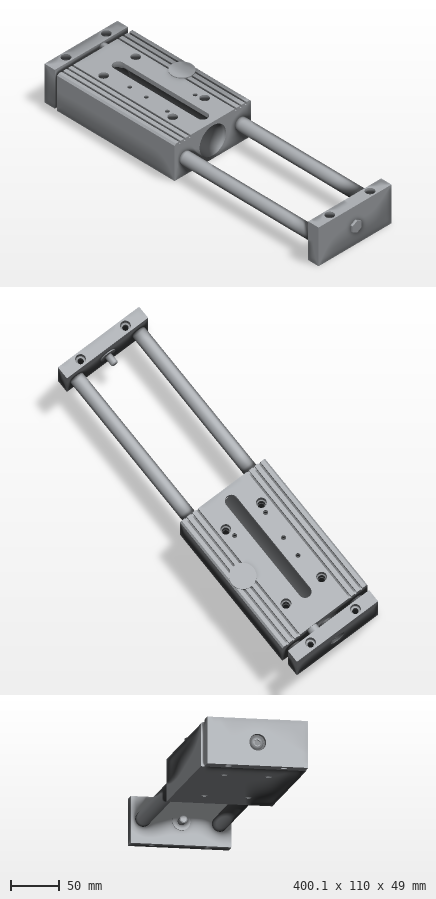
import cadquery as cq


PLATE_WIDTH = 105.0
PLATE_HEIGHT = 49.0
PLATE_THICKNESS = 15.0
REAR_PLATE_X = 382.0
PLATE_HOLE_Y = 29.0
PLATE_HOLE_DIAMETER = 6.65

ROD_DIAMETER = 16.0
ROD_Y = 40.0
ROD_Z = 0.8
ROD_CENTERS = [(-ROD_Y, -ROD_Z), (ROD_Y, ROD_Z)]

HOUSING_X = 21.0
HOUSING_LENGTH = 170.0
HOUSING_WIDTH = 110.0
HOUSING_TOP_Z = 23.5
HOUSING_BOTTOM_Z = -23.0
HOUSING_HEIGHT = HOUSING_TOP_Z - HOUSING_BOTTOM_Z
HOUSING_END_X = HOUSING_X + HOUSING_LENGTH
HOUSING_CENTER_X = HOUSING_X + HOUSING_LENGTH / 2
EDGE_CHAMFER = 2.0

GROOVE_WIDTH = 2.4
GROOVE_DEPTH = 3.0
GROOVE_PITCH = 7.25
FIRST_GROOVE_Y = 33.0
GROOVE_COUNT = 3

NARROW_BORE_DIAMETER = 34.0
WIDE_BORE_DIAMETER = 38.0
WIDE_BORE_X = 52.4

SLOT_WIDTH = 13.5
SLOT_START_X = 47.4
SLOT_LENGTH = 135.5

COUNTERBORE_DIAMETER = 11.0
COUNTERBORE_DEPTH = 6.8
MOUNTING_HOLE_DIAMETER = 6.5
MOUNTING_STEP_DIAMETER = 8.0
MOUNTING_STEP_DEPTH = 14.0
MOUNTING_FIRST_X = 56.0
MOUNTING_SPACING_X = 100.0
MOUNTING_Y = 23.0

SMALL_HOLE_DIAMETER = 4.13
SMALL_HOLE_DEPTH = 8.0
SMALL_HOLE_MOUTH_DEPTH = 4.0
DOWEL_MOUTH_DIAMETER = 5.1
DOWEL_X = 145.2
DOWEL_Y = 20.0
LOCATING_MOUTH_DIAMETER = 5.02
LOCATING_FIRST_X = 88.8
LOCATING_SPACING_X = 24.0
LOCATING_Y = -18.0

BADGE_DIAMETER = 28.0
BADGE_X = 106.0
BADGE_Y = ROD_Y
BADGE_HEIGHT = PLATE_HEIGHT / 2 - HOUSING_TOP_Z

STOP_COLLAR_DIAMETER = 18.5
STOP_TIP_DIAMETER = 17.5
STOP_TIP_LENGTH = 1.4
SCREW_RECESS_DIAMETER = 17.5
SCREW_RECESS_DEPTH = 5.0
SCREW_HEAD_DIAMETER = 13.5
SCREW_HEAD_HEIGHT = 3.0
SCREW_HEAD_CHAMFER = 2.8
SCREW_SOCKET_WIDTH = 6.0
SCREW_SOCKET_DEPTH = 2.5
HEX_CORNER_RATIO = 2 / 3 ** 0.5

BUMPER_DIAMETER = 12.0
BUMPER_Y = 16.7
BUMPER_Z = 17.0

STUD_DIAMETER = 8.0
STUD_START_X = 369.3
STUD_CHAMFER = 1.0
FLANGE_DIAMETER = 18.5
FLANGE_THICKNESS = 1.2
HEAD_WIDTH = 13.0
OVERALL_LENGTH = 400.1


def cylinder_x(diameter, start_x, end_x, y=0.0, z=0.0):
    """A cylinder along X between two X positions."""
    section = cq.Workplane("YZ", origin=(start_x, y, z)).circle(diameter / 2)
    return section.extrude(end_x - start_x)


def hexagon_x(width, start_x, end_x):
    """A hexagonal prism on the X axis, flats facing +Y and -Y, given its width across flats."""
    section = cq.Workplane("YZ", origin=(start_x, 0, 0)).transformed(rotate=(0, 0, 90))
    return section.polygon(6, width * HEX_CORNER_RATIO).extrude(end_x - start_x)


def plate(start_x):
    """A yoke plate with two counterbored vertical screw holes."""
    block = cq.Workplane("XY").box(PLATE_THICKNESS, PLATE_WIDTH, PLATE_HEIGHT)
    block = block.translate((start_x + PLATE_THICKNESS / 2, 0, 0))
    hole_points = [(0, -PLATE_HOLE_Y), (0, PLATE_HOLE_Y)]
    top = block.faces(">Z").workplane(centerOption="CenterOfBoundBox").pushPoints(hole_points)
    return top.cboreHole(PLATE_HOLE_DIAMETER, COUNTERBORE_DIAMETER, COUNTERBORE_DEPTH)


def screw_head():
    """A chamfered socket screw head standing on the floor of the front plate's recess."""
    start_x = SCREW_RECESS_DEPTH - SCREW_HEAD_HEIGHT
    head = cylinder_x(SCREW_HEAD_DIAMETER, start_x, SCREW_RECESS_DEPTH)
    head = head.faces("<X").chamfer(SCREW_HEAD_CHAMFER)
    return head.cut(hexagon_x(SCREW_SOCKET_WIDTH, start_x, start_x + SCREW_SOCKET_DEPTH))


def coupling_stud():
    """The stud with its flange against the rear plate and its head outside it."""
    rear_face_x = REAR_PLATE_X + PLATE_THICKNESS
    stud = cylinder_x(STUD_DIAMETER, STUD_START_X, REAR_PLATE_X).faces("<X").chamfer(STUD_CHAMFER)
    flange = cylinder_x(FLANGE_DIAMETER, REAR_PLATE_X - FLANGE_THICKNESS, REAR_PLATE_X)
    head = hexagon_x(HEAD_WIDTH, rear_face_x, OVERALL_LENGTH)
    return stud, flange, head


def build_carriage():
    """Both plates, the rods and the fittings fixed to them, as one solid."""
    tip_x = HOUSING_X - STOP_TIP_LENGTH
    carriage = plate(0).cut(cylinder_x(SCREW_RECESS_DIAMETER, 0, SCREW_RECESS_DEPTH))
    for rod_y, rod_z in ROD_CENTERS:
        carriage = carriage.union(cylinder_x(ROD_DIAMETER, PLATE_THICKNESS, REAR_PLATE_X, rod_y, rod_z))
    carriage = carriage.union(plate(REAR_PLATE_X))
    carriage = carriage.union(screw_head())
    carriage = carriage.union(cylinder_x(STOP_COLLAR_DIAMETER, PLATE_THICKNESS, tip_x))
    carriage = carriage.union(cylinder_x(STOP_TIP_DIAMETER, tip_x, HOUSING_X))
    carriage = carriage.union(cylinder_x(BUMPER_DIAMETER, PLATE_THICKNESS, HOUSING_X, BUMPER_Y, BUMPER_Z))
    for fitting in coupling_stud():
        carriage = carriage.union(fitting)
    return carriage


def housing_block():
    """The housing's block with chamfered long top edges."""
    base = cq.Workplane("XY", origin=(HOUSING_CENTER_X, 0, HOUSING_BOTTOM_Z))
    block = base.rect(HOUSING_LENGTH, HOUSING_WIDTH).extrude(HOUSING_HEIGHT)
    return block.faces(">Z").edges("|X").chamfer(EDGE_CHAMFER)


def top_grooves():
    """Cutters for the grooves that run the length of the housing."""
    centers = []
    for index in range(GROOVE_COUNT):
        y = FIRST_GROOVE_Y + index * GROOVE_PITCH
        centers += [(HOUSING_CENTER_X, -y), (HOUSING_CENTER_X, y)]
    top = cq.Workplane("XY", origin=(0, 0, HOUSING_TOP_Z)).pushPoints(centers)
    return top.rect(HOUSING_LENGTH, GROOVE_WIDTH).extrude(-GROOVE_DEPTH)


def bore_and_slot():
    """Cutter for the stepped bore and the round-ended slot that opens it to the top."""
    bore = cylinder_x(NARROW_BORE_DIAMETER, HOUSING_X, WIDE_BORE_X)
    bore = bore.union(cylinder_x(WIDE_BORE_DIAMETER, WIDE_BORE_X, HOUSING_END_X))
    slot = cq.Workplane("XY").center(SLOT_START_X + SLOT_LENGTH / 2, 0)
    return bore.union(slot.slot2D(SLOT_LENGTH, SLOT_WIDTH).extrude(HOUSING_TOP_Z))


def top_holes(points, diameter, depth):
    """Cutters for vertical holes of one size, sunk from the housing's top face."""
    top = cq.Workplane("XY", origin=(0, 0, HOUSING_TOP_Z)).pushPoints(points)
    return top.circle(diameter / 2).extrude(-depth)


def build_housing():
    """The sliding housing as one solid."""
    housing = housing_block().cut(top_grooves())
    badge = cq.Workplane("XY", origin=(BADGE_X, BADGE_Y, HOUSING_TOP_Z - GROOVE_DEPTH))
    housing = housing.union(badge.circle(BADGE_DIAMETER / 2).extrude(GROOVE_DEPTH + BADGE_HEIGHT))
    housing = housing.cut(bore_and_slot())
    for rod_y, rod_z in ROD_CENTERS:
        housing = housing.cut(cylinder_x(ROD_DIAMETER, HOUSING_X, HOUSING_END_X, rod_y, rod_z))

    mounting_x = (MOUNTING_FIRST_X, MOUNTING_FIRST_X + MOUNTING_SPACING_X)
    mounting_points = [(x, y) for x in mounting_x for y in (-MOUNTING_Y, MOUNTING_Y)]
    dowel_points = [(DOWEL_X, -DOWEL_Y), (DOWEL_X, DOWEL_Y)]
    locating_x = (LOCATING_FIRST_X, LOCATING_FIRST_X + LOCATING_SPACING_X)
    locating_points = [(x, LOCATING_Y) for x in locating_x]
    small_hole_points = dowel_points + locating_points
    housing = housing.cut(top_holes(mounting_points, MOUNTING_HOLE_DIAMETER, HOUSING_HEIGHT))
    housing = housing.cut(top_holes(mounting_points, MOUNTING_STEP_DIAMETER, MOUNTING_STEP_DEPTH))
    housing = housing.cut(top_holes(mounting_points, COUNTERBORE_DIAMETER, COUNTERBORE_DEPTH))
    housing = housing.cut(top_holes(small_hole_points, SMALL_HOLE_DIAMETER, SMALL_HOLE_DEPTH))
    housing = housing.cut(top_holes(dowel_points, DOWEL_MOUTH_DIAMETER, SMALL_HOLE_MOUTH_DEPTH))
    return housing.cut(top_holes(locating_points, LOCATING_MOUTH_DIAMETER, SMALL_HOLE_MOUTH_DEPTH))


carriage = build_carriage()
housing = build_housing()
result = cq.Compound.makeCompound([carriage.val(), housing.val()])